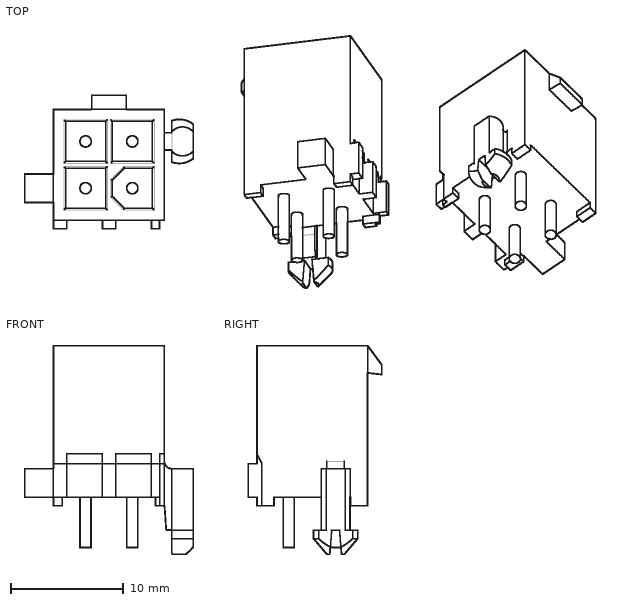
import cadquery as cq


TOTAL_X = 15.01
TOTAL_Y = 11.89
TOTAL_Z = 18.57
WIDTH = 9.86
HEIGHT = 13.49
HALF = WIDTH / 2
PITCH = 4.16
ROW = PITCH / 2

CAVITY_WIDTH = 3.55
CAVITY_FLOOR = 3.5
MOUTH_FILLET = 0.16
KEY_CUT = 1.05

PIN_DIAMETER = 1.0
PIN_BOTTOM = -4.47
PIN_RECESS = 1.43
PIN_TOP = HEIGHT - PIN_RECESS

FOOT_WIDTH = 0.8
FOOT_LENGTH = 1.53
FOOT_HEIGHT = 0.75

RIB_WIDTH = 1.2
RIB_DEPTH = 0.77
RIB_HEIGHT = 3.0
POCKET_WIDTH = 3.15
POCKET_DEPTH = 0.46
POCKET_TOP = 3.86
CORNER_RELIEF_WIDTH = 0.43
RIB_STEP = RIB_WIDTH + POCKET_WIDTH
END_RIB_WIDTH = WIDTH - 2 * RIB_STEP - CORNER_RELIEF_WIDTH

BLOCK_SIZE = 2.56
BLOCK_REACH = 2.57

LATCH_WIDTH = 3.08
LATCH_REACH = TOTAL_Y - WIDTH - RIB_DEPTH
LATCH_RAMP_DROP = 1.71
LATCH_TIP_DROP = 2.58
LATCH_ROOT_DROP = 2.44

PEG_TOP = BLOCK_SIZE
PEG_WIDTH = 1.94
PEG_START = TOTAL_X - BLOCK_REACH - HALF - PEG_WIDTH
PEG_RADIUS = 1.29
BARB_RADIUS = 1.97
BARB_OFFSET = 0.69
TIP_RADIUS = 0.77
BARB_TOP = -2.92
BARB_EDGE = -3.67
PEG_BOTTOM = HEIGHT - TOTAL_Z
SLOT_MOUTH = 1.03
SLOT_ROOT = 0.7
WEB_WIDTH = 1.57
WEB_TAPER = 0.15
WEB_FILLET = PEG_START - HALF


def box(x_range, y_range, z_range):
    """Axis-aligned box between the given limits."""
    size = [high - low for low, high in (x_range, y_range, z_range)]
    corner = (x_range[0], y_range[0], z_range[0])
    return cq.Workplane("XY").box(*size, centered=False).translate(corner)


def make_housing():
    body = box((-HALF, HALF), (-HALF, HALF), (0, HEIGHT))
    foot_x = HALF - FOOT_WIDTH / 2
    foot_y = HALF - FOOT_LENGTH / 2
    feet = (
        cq.Workplane("XY")
        .rect(2 * foot_x, 2 * foot_y, forConstruction=True)
        .vertices()
        .rect(FOOT_WIDTH, FOOT_LENGTH)
        .extrude(-FOOT_HEIGHT)
    )
    return body.union(feet)


def make_cavity(x, y, keyed):
    """Square contact cavity; a keyed one has both of its -X corners cut off."""
    cavity = (
        cq.Workplane("XY")
        .workplane(offset=CAVITY_FLOOR)
        .rect(CAVITY_WIDTH, CAVITY_WIDTH)
        .extrude(HEIGHT - CAVITY_FLOOR)
    )
    if keyed:
        cavity = cavity.edges("|Z and <X").chamfer(KEY_CUT)
    return cavity.translate((x, y, 0))


def round_mouths(housing):
    """Round the rims of all the cavities in the top face."""
    rims = [edge for wire in housing.faces(">Z").val().innerWires() for edge in wire.Edges()]
    return housing.newObject(rims).fillet(MOUTH_FILLET)


def make_pin(x, y):
    pin = cq.Workplane("XY").circle(PIN_DIAMETER / 2).extrude(PIN_TOP - PIN_BOTTOM)
    return pin.translate((x, y, PIN_BOTTOM))


def make_relief(x_start, width):
    """Pocket in the -Y face, open at the bottom, with a sloping roof."""
    profile = [
        (-HALF, -FOOT_HEIGHT),
        (-HALF, POCKET_TOP),
        (-HALF + POCKET_DEPTH, RIB_HEIGHT),
        (-HALF + POCKET_DEPTH, -FOOT_HEIGHT),
    ]
    return cq.Workplane("YZ").polyline(profile).close().extrude(width).translate((x_start, 0, 0))


def make_rib(x_start, width):
    return box((x_start, x_start + width), (-HALF - RIB_DEPTH, -HALF), (0, RIB_HEIGHT))


def make_block():
    half_block = BLOCK_SIZE / 2
    return box((-HALF - BLOCK_REACH, -HALF), (-ROW - half_block, -ROW + half_block), (0, BLOCK_SIZE))


def make_latch():
    profile = [
        (HALF, HEIGHT),
        (HALF + LATCH_REACH, HEIGHT - LATCH_RAMP_DROP),
        (HALF + LATCH_REACH, HEIGHT - LATCH_TIP_DROP),
        (HALF, HEIGHT - LATCH_ROOT_DROP),
    ]
    return cq.Workplane("YZ").polyline(profile).close().extrude(LATCH_WIDTH / 2, both=True)


def make_board_lock():
    """Split peg with a conical barb, trimmed to a slab and joined to the housing by a web."""
    peg_x = PEG_START + PEG_WIDTH / 2
    barb_x = PEG_START + BARB_OFFSET
    peg = cq.Workplane("XY").circle(PEG_RADIUS).extrude(PEG_TOP - BARB_TOP)
    barb_profile = [
        (0, PEG_BOTTOM),
        (TIP_RADIUS, PEG_BOTTOM),
        (BARB_RADIUS, BARB_EDGE),
        (BARB_RADIUS, BARB_TOP),
        (0, BARB_TOP),
    ]
    barb = cq.Workplane("XZ").polyline(barb_profile).close().revolve(360, (0, 0, 0), (0, 1, 0))
    slab = box(
        (PEG_START, PEG_START + PEG_WIDTH), (-BARB_RADIUS, BARB_RADIUS), (PEG_BOTTOM, PEG_TOP)
    )
    lock = peg.translate((peg_x, 0, BARB_TOP)).union(barb.translate((barb_x, 0, 0))).intersect(slab)

    slot_profile = [
        (-SLOT_MOUTH / 2, PEG_BOTTOM),
        (SLOT_MOUTH / 2, PEG_BOTTOM),
        (SLOT_ROOT / 2, BARB_TOP),
        (-SLOT_ROOT / 2, BARB_TOP),
    ]
    slot = cq.Workplane("YZ").polyline(slot_profile).close().extrude(PEG_WIDTH)
    slot = slot.translate((PEG_START, 0, 0))
    web = (
        cq.Workplane("XZ")
        .moveTo(HALF, PEG_TOP + WEB_FILLET)
        .radiusArc((HALF + WEB_FILLET, PEG_TOP), -WEB_FILLET)
        .lineTo(peg_x, PEG_TOP)
        .lineTo(peg_x, BARB_TOP)
        .lineTo(HALF + WEB_TAPER, BARB_TOP)
        .lineTo(HALF, -FOOT_HEIGHT)
        .close()
        .extrude(WEB_WIDTH / 2, both=True)
    )
    return lock.cut(slot).union(web).translate((0, ROW, 0))


CONTACTS = [(x, y) for x in (-ROW, ROW) for y in (-ROW, ROW)]
KEYED_CONTACT = (ROW, -ROW)

rib_widths = [RIB_WIDTH, RIB_WIDTH, END_RIB_WIDTH]
rib_starts = [-HALF + i * RIB_STEP for i in range(len(rib_widths))]

result = make_housing()
for x, y in CONTACTS:
    result = result.cut(make_cavity(x, y, (x, y) == KEYED_CONTACT))
result = round_mouths(result)

for start in rib_starts[:-1]:
    result = result.cut(make_relief(start + RIB_WIDTH, POCKET_WIDTH))
result = result.cut(make_relief(HALF - CORNER_RELIEF_WIDTH, CORNER_RELIEF_WIDTH))
for start, width in zip(rib_starts, rib_widths):
    result = result.union(make_rib(start, width))

for x, y in CONTACTS:
    result = result.union(make_pin(x, y))
result = result.union(make_block()).union(make_latch()).union(make_board_lock())